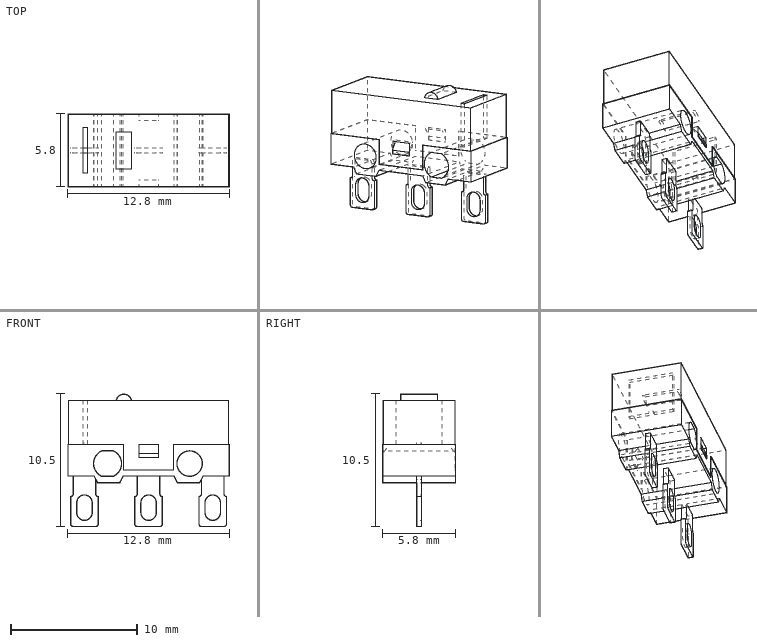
import cadquery as cq

BASE_LENGTH = 12.8
BASE_WIDTH = 5.8
BASE_HEIGHT = 2.5

COVER_INSET = 0.05
COVER_LENGTH = BASE_LENGTH - 2 * COVER_INSET
COVER_WIDTH = BASE_WIDTH - 2 * COVER_INSET
COVER_TOP = 6.0

TAB_WIDTH = 3.97
TAB_BOTTOM = 0.49

HOOK_WIDTH = 1.54
HOOK_BOTTOM = 1.47
RAMP_BOTTOM = 1.78
RAMP_DEPTH = 0.55

FOOT_X = 3.16
FOOT_HEIGHT = 0.52
FOOT_ROOT_WIDTH = 2.3
FOOT_TIP_WIDTH = 1.77

HOLE_X = 3.25
HOLE_Z = 1.0
HOLE_DIAMETER = 2.0
WIDE_HOLE_DIAMETER = 2.2

PLUNGER_X = -1.96
PLUNGER_RADIUS = 0.63
PLUNGER_LENGTH = 2.93
PLUNGER_TOP = 6.5

TERMINAL_PITCH = 5.08
TERMINAL_THICKNESS = 0.4
TERMINAL_BOTTOM = -4.0
NECK_WIDTH = 1.8
LUG_WIDTH = 2.2
LUG_TOP = -1.61
LUG_CORNER_RADIUS = 0.2
SHOULDER_RADIUS = (LUG_WIDTH - NECK_WIDTH) / 2
EYE_WIDTH = 1.2
EYE_LENGTH = 2.0
EYE_BOTTOM_MARGIN = 0.5

SLOT_X = -5.02
SLOT_WIDTH = 0.32
SLOT_LENGTH = 3.62
TERMINAL_RISE = 0.13


def block(length, width, bottom, top):
    """Box centred on x = 0 and y = 0 between two heights."""
    return cq.Workplane("XY").workplane(offset=bottom).rect(length, width).extrude(top - bottom)


def side_profile(width):
    """XZ sketch plane whose extrusion by width is centred on y = 0."""
    return cq.Workplane("XZ", origin=(0, width / 2, 0))


def make_foot(x):
    return (
        side_profile(BASE_WIDTH)
        .moveTo(x - FOOT_ROOT_WIDTH / 2, 0)
        .lineTo(x - FOOT_TIP_WIDTH / 2, -FOOT_HEIGHT)
        .lineTo(x + FOOT_TIP_WIDTH / 2, -FOOT_HEIGHT)
        .lineTo(x + FOOT_ROOT_WIDTH / 2, 0)
        .close()
        .extrude(BASE_WIDTH)
    )


def make_body():
    """Base with its feet and side recesses, joined to the cover and its tabs."""
    base = block(BASE_LENGTH, BASE_WIDTH, 0, BASE_HEIGHT)
    recess = block(TAB_WIDTH, BASE_WIDTH, TAB_BOTTOM, BASE_HEIGHT)
    tabs = block(TAB_WIDTH, COVER_WIDTH, TAB_BOTTOM, BASE_HEIGHT)
    cover = block(COVER_LENGTH, COVER_WIDTH, BASE_HEIGHT, COVER_TOP)
    body = base.cut(recess).union(tabs).union(cover)
    for side in (-1, 1):
        body = body.union(make_foot(side * FOOT_X))
    return body


def make_hole(x, diameter):
    """Round hole tool along Y, limited in height to HOLE_DIAMETER."""
    bore = side_profile(BASE_WIDTH).center(x, HOLE_Z).circle(diameter / 2).extrude(BASE_WIDTH)
    height_limit = block(
        BASE_LENGTH, BASE_WIDTH, HOLE_Z - HOLE_DIAMETER / 2, HOLE_Z + HOLE_DIAMETER / 2
    )
    return bore.intersect(height_limit)


def make_hook_pads():
    """Pads on both long sides that stand out from the tabs to the base faces."""
    return block(HOOK_WIDTH, BASE_WIDTH, HOOK_BOTTOM, BASE_HEIGHT)


def make_window():
    """Wedge that cuts the ramp into the pad and tab on the -Y side."""
    face_y = -BASE_WIDTH / 2
    return (
        cq.Workplane("YZ", origin=(-HOOK_WIDTH / 2, 0, 0))
        .moveTo(face_y, RAMP_BOTTOM)
        .lineTo(face_y + RAMP_DEPTH, BASE_HEIGHT)
        .lineTo(face_y, BASE_HEIGHT)
        .close()
        .extrude(HOOK_WIDTH)
    )


def make_plunger():
    axis_z = PLUNGER_TOP - PLUNGER_RADIUS
    return (
        side_profile(PLUNGER_LENGTH)
        .center(PLUNGER_X, axis_z)
        .circle(PLUNGER_RADIUS)
        .extrude(PLUNGER_LENGTH)
    )


def make_terminal(x):
    """Flat terminal with a narrow neck, concave shoulders and an eyelet lug."""
    top = BASE_HEIGHT + TERMINAL_RISE
    neck = block(NECK_WIDTH, TERMINAL_THICKNESS, LUG_TOP, top)
    lug = (
        block(LUG_WIDTH, TERMINAL_THICKNESS, TERMINAL_BOTTOM, LUG_TOP)
        .edges("|Y and <Z")
        .fillet(LUG_CORNER_RADIUS)
    )
    eye_z = TERMINAL_BOTTOM + EYE_BOTTOM_MARGIN + EYE_LENGTH / 2
    eye = (
        side_profile(TERMINAL_THICKNESS)
        .center(0, eye_z)
        .slot2D(EYE_LENGTH, EYE_WIDTH, 90)
        .extrude(TERMINAL_THICKNESS)
    )
    shoulders = block(LUG_WIDTH, TERMINAL_THICKNESS, LUG_TOP, LUG_TOP + SHOULDER_RADIUS)
    for side in (-1, 1):
        hollow = (
            side_profile(TERMINAL_THICKNESS)
            .center(side * LUG_WIDTH / 2, LUG_TOP + SHOULDER_RADIUS)
            .circle(SHOULDER_RADIUS)
            .extrude(TERMINAL_THICKNESS)
        )
        shoulders = shoulders.cut(hollow)
    return neck.union(lug).union(shoulders).cut(eye).translate((x, 0, 0))


window = make_window()
result = make_body().union(make_plunger()).union(make_hook_pads())
result = result.cut(window).cut(window.mirror("XZ"))

cover_slot = block(SLOT_WIDTH, SLOT_LENGTH, BASE_HEIGHT, COVER_TOP).translate((SLOT_X, 0, 0))
result = result.cut(cover_slot)

for index in (-1, 0, 1):
    result = result.union(make_terminal(index * TERMINAL_PITCH))

result = result.cut(make_hole(HOLE_X, HOLE_DIAMETER))
result = result.cut(make_hole(-HOLE_X, WIDE_HOLE_DIAMETER))